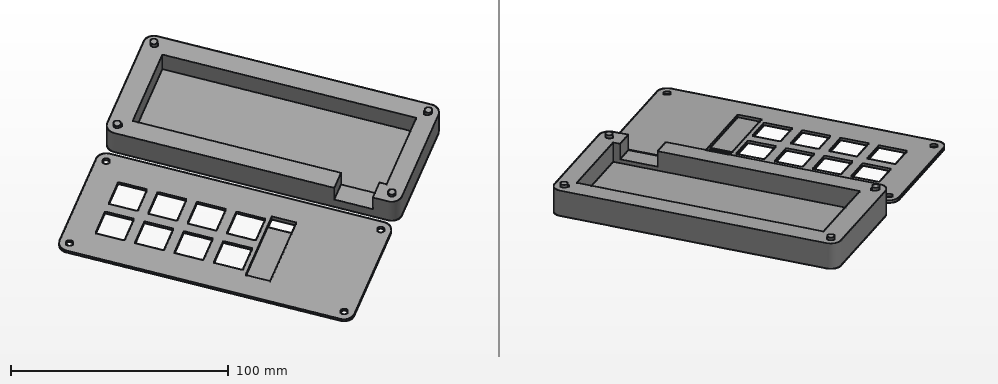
import cadquery as cq

body_length = 142.8
body_width = 62.8
corner_radius = 5.0
fastener_inset = 4.9
fastener_span_x = body_length - 2 * fastener_inset
fastener_span_y = body_width - 2 * fastener_inset

case_height = 13.2
cavity_length = 123.0
cavity_width = 43.0
cavity_floor = 3.2
cavity_left_wall = 10.8
cavity_front_wall = 9.8
notch_length = 18.7
notch_depth = 8.0
notch_from_left = 111.6

pin_diameter = 3.5
pin_top = 14.6
clearance_diameter = 3.5
clearance_shift = 0.5
socket_depth = 10.0
socket_bottom = case_height - socket_depth

plate_thickness = 1.5
plate_bottom = 1.7
overall_length = 143.5
overall_width = 129.9
plate_x = body_length - overall_length
plate_y = body_width - overall_width
plate_top = plate_bottom + plate_thickness
plate_left = plate_x - body_length / 2
plate_back = plate_y + body_width / 2
plate_hole_diameter = 3.5

key_columns = 4
key_rows = 2
key_pitch = 19.1
key_size = 14.0
key_corner_radius = 0.5
first_key_from_left = 21.2
first_key_from_back = 22.4

pocket_length = 11.9
pocket_width = 38.0
pocket_from_left = 87.8
pocket_from_back = 13.0
window_width = 5.6
tray_wall = 1.0
tray_floor = 0.9


def corner_points(center_x, center_y):
    """Fastener positions at the four corners of a body outline."""
    return [
        (center_x + side_x * fastener_span_x / 2, center_y + side_y * fastener_span_y / 2)
        for side_x in (-1, 1)
        for side_y in (-1, 1)
    ]


def rounded_slab(center_x, center_y, bottom, height):
    """Slab with the shared outline and rounded vertical corners."""
    slab = cq.Workplane("XY").box(body_length, body_width, height, centered=(True, True, False))
    return slab.edges("|Z").fillet(corner_radius).translate((center_x, center_y, bottom))


def block(left, front, bottom, length, width, height):
    """Box placed by its lowest corner."""
    box = cq.Workplane("XY").box(length, width, height, centered=False)
    return box.translate((left, front, bottom))


def make_pin(x, y):
    """Straight pin standing in its socket and rising above the case rim."""
    pin = cq.Workplane("XY").center(x, y).circle(pin_diameter / 2)
    return pin.extrude(pin_top - socket_bottom).translate((0, 0, socket_bottom))


def make_case():
    left = -body_length / 2
    front = -body_width / 2
    case = rounded_slab(0, 0, 0, case_height)

    cavity_depth = case_height - cavity_floor
    case = case.cut(
        block(left + cavity_left_wall, front + cavity_front_wall, cavity_floor,
              cavity_length, cavity_width, cavity_depth)
    )

    case = case.cut(
        block(left + notch_from_left, front, case_height - notch_depth,
              notch_length, cavity_front_wall, notch_depth)
    )

    for x, y in corner_points(0, 0):
        hole_x = x - clearance_shift * (1 if x > 0 else -1)
        hole_y = y - clearance_shift * (1 if y > 0 else -1)
        hole = cq.Workplane("XY").center(hole_x, hole_y).circle(clearance_diameter / 2)
        hole = hole.extrude(socket_depth).translate((0, 0, socket_bottom))
        case = case.cut(hole).cut(make_pin(x, y))

    return case


def make_plate():
    plate = rounded_slab(plate_x, plate_y, plate_bottom, plate_thickness)

    holes = cq.Workplane("XY").pushPoints(corner_points(plate_x, plate_y))
    plate = plate.cut(holes.circle(plate_hole_diameter / 2).extrude(plate_top))

    for column in range(key_columns):
        for row in range(key_rows):
            key_x = plate_left + first_key_from_left + column * key_pitch
            key_y = plate_back - first_key_from_back - row * key_pitch
            key = cq.Workplane("XY").center(key_x, key_y).rect(key_size, key_size).extrude(plate_top)
            plate = plate.cut(key.edges("|Z").fillet(key_corner_radius))

    pocket_left = plate_left + pocket_from_left
    pocket_back = plate_back - pocket_from_back
    pocket_front = pocket_back - pocket_width
    plate = plate.union(
        block(pocket_left - tray_wall, pocket_front - tray_wall, plate_bottom - tray_floor,
              pocket_length + 2 * tray_wall, pocket_width + 2 * tray_wall, tray_floor)
    )

    plate = plate.cut(
        block(pocket_left, pocket_front, plate_bottom, pocket_length, pocket_width, plate_thickness)
    )
    return plate.cut(
        block(pocket_left, pocket_back - window_width, 0, pocket_length, window_width, plate_top)
    )


case = make_case()
plate = make_plate()
pins = [make_pin(x, y) for x, y in corner_points(0, 0)]

result = cq.Compound.makeCompound([case.val(), plate.val(), *[pin.val() for pin in pins]])